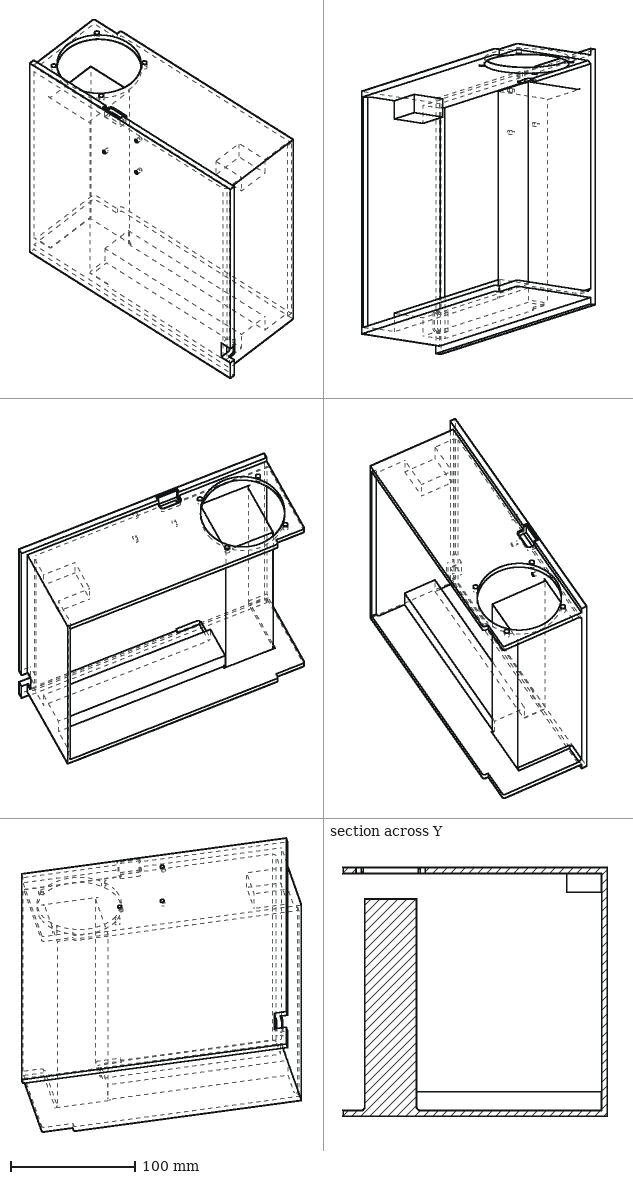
import cadquery as cq

PANEL_WIDTH = 218.5
PANEL_HEIGHT = 211.3
TOTAL_DEPTH = 81.3
PANEL_THICKNESS = 4.8
WALL = 5.0
BODY_INSET = 5.2

BODY_RIGHT = PANEL_WIDTH - BODY_INSET
BODY_TOP = PANEL_HEIGHT - BODY_INSET
CEILING = BODY_TOP - WALL
FLOOR = BODY_INSET + WALL

STEP_X = 25.3
STEP_DEPTH = 77.0
EDGE_FILLET = 1.7

JOINT_SIZE = 2.5
FAN_BAY_LENGTH = 80.6

LEDGE_WIDTH = 2.6

FAN_X = 38.5
FAN_Y = 40.9
FAN_DIAMETER = 68.0
FAN_SCREW_SPACING = 51.8
FAN_SCREW_DIAMETER = 4.0

BLOCK_LEFT = 17.5
BLOCK_RIGHT = 59.5
BLOCK_DEPTH = 54.0
BLOCK_TOP = 180.7
BASE_CHAMFER = 1.7
RAIL_NEAR_Y = 24.5
RAIL_FAR_Y = 52.5
RAIL_HEIGHT = 15.0
UPPER_RAIL_LENGTH = 28.0

PANEL_HOLE_DIAMETER = 3.0
PANEL_HOLE_SPACING = 35.0
PANEL_HOLE_X = 116.0
PANEL_HOLE_Z = 164.0

SLOT_DEPTH = 10.3
SLOT_CORNER = 1.7
SLOT_MOUTH = 0.9
TOP_SLOT_X = 79.0
TOP_SLOT_WIDTH = 17.0
TOP_SLOT_Y = 2.5
SIDE_SLOT_Z = 17.3
SIDE_SLOT_HEIGHT = 16.0
SIDE_SLOT_X = 208.5


def span_box(x_range, y_range, z_range):
    """Box spanning the given ranges along X, Y and Z."""
    sizes = [high - low for low, high in (x_range, y_range, z_range)]
    corner = (x_range[0], y_range[0], z_range[0])
    return cq.Workplane("XY").box(*sizes, centered=False).translate(corner)


def upright_prism(points, z_range):
    """Vertical prism over an XY outline."""
    prism = cq.Workplane("XY").polyline(points).close().extrude(z_range[1] - z_range[0])
    return prism.translate((0, 0, z_range[0]))


def lengthwise_prism(points, x_range):
    """Prism along X over a YZ outline."""
    prism = cq.Workplane("YZ").polyline(points).close().extrude(x_range[1] - x_range[0])
    return prism.translate((x_range[0], 0, 0))


def stepped_plate(bottom):
    """Horizontal plate whose rear edge steps back near the left end."""
    outline = [
        (0, 0),
        (BODY_RIGHT, 0),
        (BODY_RIGHT, TOTAL_DEPTH),
        (STEP_X, TOTAL_DEPTH),
        (STEP_X, STEP_DEPTH),
        (0, STEP_DEPTH),
    ]
    plate = upright_prism(outline, (bottom, bottom + WALL))
    step_corner = cq.selectors.NearestToPointSelector((STEP_X, TOTAL_DEPTH, bottom + WALL / 2))
    end_corner = cq.selectors.NearestToPointSelector((0, STEP_DEPTH, bottom + WALL / 2))
    return plate.edges(step_corner + end_corner).fillet(EDGE_FILLET)


def right_wall():
    """Right wall with a rounded ledge at its rear edge and a chamfered joint to the panel."""
    inner_x = BODY_RIGHT - WALL
    ledge = span_box((inner_x, BODY_RIGHT), (0, STEP_DEPTH), (FLOOR, CEILING))
    ledge = ledge.edges("|Z and <X and >Y").fillet(EDGE_FILLET)
    outer = span_box((inner_x + LEDGE_WIDTH, BODY_RIGHT), (0, TOTAL_DEPTH), (FLOOR, CEILING))
    joint = [
        (inner_x, PANEL_THICKNESS),
        (inner_x - JOINT_SIZE, PANEL_THICKNESS),
        (inner_x, PANEL_THICKNESS + JOINT_SIZE),
    ]
    return ledge.union(outer).union(upright_prism(joint, (FLOOR, CEILING)))


def plate_joint(level, inward):
    """Chamfer strip between the panel and a plate surface in the fan bay."""
    corner = [
        (PANEL_THICKNESS, level),
        (PANEL_THICKNESS + JOINT_SIZE, level),
        (PANEL_THICKNESS, level + inward * JOINT_SIZE),
    ]
    return lengthwise_prism(corner, (0, FAN_BAY_LENGTH))


def block_joint(side_x, outward):
    """Concave fillet strip between the panel and one side of the standing block."""
    strip = span_box(
        sorted((side_x, side_x + outward * JOINT_SIZE)),
        (PANEL_THICKNESS, PANEL_THICKNESS + JOINT_SIZE),
        (FLOOR, BLOCK_TOP),
    )
    axis = (side_x + outward * JOINT_SIZE, PANEL_THICKNESS + JOINT_SIZE, FLOOR)
    hollow = cq.Workplane("XY").circle(JOINT_SIZE).extrude(BLOCK_TOP - FLOOR).translate(axis)
    return strip.cut(hollow)


def standing_block():
    """Tall block with flared sides at the floor and filleted joints to the panel."""
    body = span_box((BLOCK_LEFT, BLOCK_RIGHT), (0, BLOCK_DEPTH), (FLOOR, BLOCK_TOP))
    flare = [
        (BLOCK_LEFT - BASE_CHAMFER, FLOOR),
        (BLOCK_LEFT, FLOOR + BASE_CHAMFER),
        (BLOCK_RIGHT, FLOOR + BASE_CHAMFER),
        (BLOCK_RIGHT + BASE_CHAMFER, FLOOR),
    ]
    base = cq.Workplane("XZ").polyline(flare).close().extrude(-BLOCK_DEPTH)
    joints = block_joint(BLOCK_LEFT, -1).union(block_joint(BLOCK_RIGHT, 1))
    return body.union(base).union(joints)


def rails():
    """Floor rail from the block to the right wall, and a short ceiling rail on that wall."""
    end_x = BODY_RIGHT - LEDGE_WIDTH
    y_range = (RAIL_NEAR_Y, RAIL_FAR_Y)
    lower = span_box((BLOCK_RIGHT, end_x), y_range, (FLOOR, FLOOR + RAIL_HEIGHT))
    upper_start = BODY_RIGHT - WALL - UPPER_RAIL_LENGTH
    upper = span_box((upper_start, end_x), y_range, (CEILING - RAIL_HEIGHT, CEILING))
    return lower.union(upper)


def fan_opening():
    """Large round opening and its four screw holes."""
    plane = cq.Workplane("XY").workplane(offset=CEILING).center(FAN_X, FAN_Y)
    opening = plane.circle(FAN_DIAMETER / 2).extrude(WALL)
    screws = plane.rect(FAN_SCREW_SPACING, FAN_SCREW_SPACING, forConstruction=True).vertices()
    return opening.union(screws.circle(FAN_SCREW_DIAMETER / 2).extrude(WALL))


def panel_holes():
    """Three screw holes set on the corners of a square."""
    centers = [
        (PANEL_HOLE_X, PANEL_HOLE_Z),
        (PANEL_HOLE_X - PANEL_HOLE_SPACING, PANEL_HOLE_Z),
        (PANEL_HOLE_X, PANEL_HOLE_Z + PANEL_HOLE_SPACING),
    ]
    return cq.Workplane("XZ").pushPoints(centers).circle(PANEL_HOLE_DIAMETER / 2).extrude(-PANEL_THICKNESS)


def slot_outline(width, near_y, far_y, corner, depth, taper=0):
    """Slot shape sunk below Z = 0 and centred on X = 0, with rounded far corners."""
    return (
        cq.Workplane("XY")
        .moveTo(-width / 2, near_y)
        .lineTo(width / 2, near_y)
        .lineTo(width / 2, far_y - corner)
        .radiusArc((width / 2 - corner, far_y), -corner)
        .lineTo(corner - width / 2, far_y)
        .radiusArc((-width / 2, far_y - corner), -corner)
        .close()
        .extrude(-depth, taper=taper)
    )


def slot_mouth(width, near_y):
    """45 degree chamfer that widens the slot outline at Z = 0."""
    return slot_outline(
        width + 2 * SLOT_MOUTH,
        near_y - SLOT_MOUTH,
        SLOT_DEPTH + SLOT_MOUTH,
        SLOT_CORNER + SLOT_MOUTH,
        SLOT_MOUTH,
        taper=45,
    )


def top_slot():
    """Slot through the top plate and the inner part of the panel."""
    center_x = TOP_SLOT_X + TOP_SLOT_WIDTH / 2
    depth = PANEL_HEIGHT - CEILING
    slot = slot_outline(TOP_SLOT_WIDTH, TOP_SLOT_Y, SLOT_DEPTH, SLOT_CORNER, depth)
    slot = slot.translate((center_x, 0, PANEL_HEIGHT))
    mouth = slot_mouth(TOP_SLOT_WIDTH, TOP_SLOT_Y)
    in_panel = span_box((-TOP_SLOT_WIDTH, TOP_SLOT_WIDTH), (0, PANEL_THICKNESS), (-WALL, 0))
    panel_mouth = mouth.intersect(in_panel)
    slot = slot.union(panel_mouth.translate((center_x, 0, PANEL_HEIGHT)))
    plate_mouth = mouth.cut(panel_mouth)
    return slot.union(plate_mouth.translate((center_x, 0, BODY_TOP)))


def side_slot():
    """Slot through the panel and the right wall, open at the front of the panel."""
    depth = PANEL_WIDTH - SIDE_SLOT_X
    slot = slot_outline(SIDE_SLOT_HEIGHT, 0, SLOT_DEPTH, SLOT_CORNER, depth)
    slot = slot.translate((0, 0, PANEL_WIDTH - BODY_RIGHT))
    behind_panel = span_box(
        (-SIDE_SLOT_HEIGHT, SIDE_SLOT_HEIGHT),
        (PANEL_THICKNESS, TOTAL_DEPTH),
        (-WALL, 0),
    )
    mouth = slot_mouth(SIDE_SLOT_HEIGHT, 0).intersect(behind_panel)
    slot = slot.union(mouth).rotate((0, 0, 0), (0, 1, 0), 90)
    return slot.translate((BODY_RIGHT, 0, SIDE_SLOT_Z + SIDE_SLOT_HEIGHT / 2))


panel = span_box((0, PANEL_WIDTH), (0, PANEL_THICKNESS), (0, PANEL_HEIGHT))

result = (
    panel.union(stepped_plate(BODY_INSET))
    .union(stepped_plate(CEILING))
    .union(right_wall())
    .union(plate_joint(FLOOR, 1))
    .union(plate_joint(CEILING, -1))
    .union(standing_block())
    .union(rails())
    .cut(fan_opening())
    .cut(panel_holes())
    .cut(top_slot())
    .cut(side_slot())
)